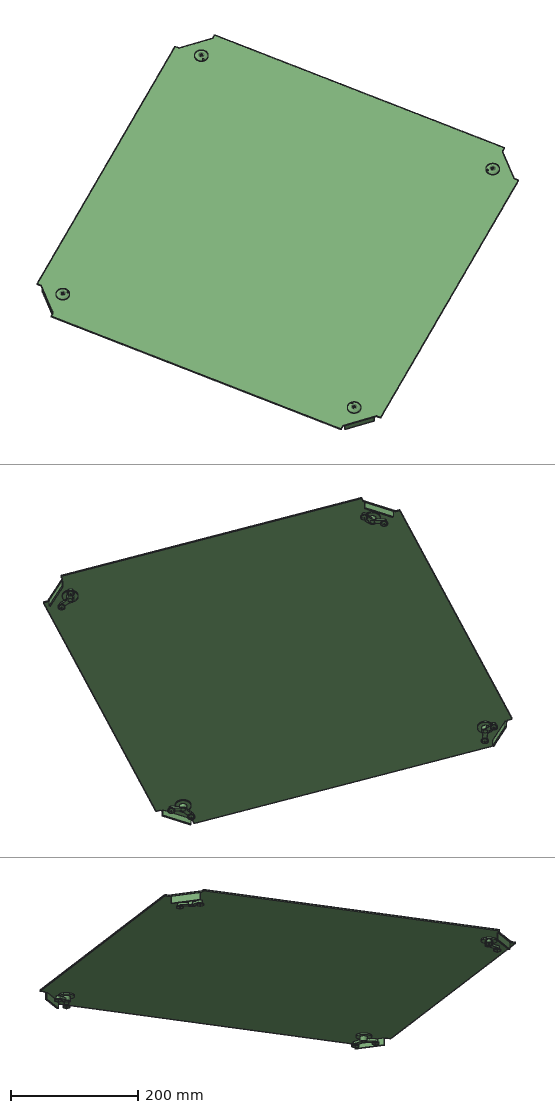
import cadquery as cq
import math

plate_side = 598.0
sheet_thickness = 2.5
corner_cut = 46.5
corner_step = 7.0
flange_drop = 11.5
flange_width = 49.0
flange_setback = 0.5
half_side = plate_side / 2

fastener_inset = 45.5
overall_height = 21.5
head_diameter = 21.5
head_height = 3.0
head_top_diameter = 8.5
head_rim_height = 1.0
socket_width = 3.5
socket_depth = 2.5
mark_diameter = 3.0
mark_reach = 9.0
shank_diameter = 7.0

collar_diameter = 25.0
collar_thickness = 2.5
neck_diameter = 12.0
arm_top_drop = 6.5
arm_thickness = 3.5
arm_length = 18.5
arm_width = 7.0
arm_angle = 68.0
foot_diameter = 11.5
foot_top_drop = 12.0
foot_thickness = 2.0
tip_diameter = 1.0

underside = 0.0
sheet_top = underside + sheet_thickness
arm_bottom = underside - arm_top_drop - arm_thickness
tip_bottom = sheet_top + head_height - overall_height
foot_top = underside - foot_top_drop
foot_bottom = foot_top - foot_thickness

diagonal_reach = (half_side - corner_cut + half_side - corner_step) / math.sqrt(2)

fastener_reach = half_side - fastener_inset
diagonal_angle = 45
corner_turns = [0, 90, 180, 270]


def cylinder(diameter, bottom, top, x=0.0):
    """Upright cylinder between two heights."""
    return (
        cq.Workplane("XY", origin=(x, 0, bottom))
        .circle(diameter / 2)
        .extrude(top - bottom)
    )


def to_corner(body, turn):
    """Moves a body from the origin, outward along +X, to one corner of the plate."""
    placed = body.rotate((0, 0, 0), (0, 0, 1), diagonal_angle)
    placed = placed.translate((fastener_reach, fastener_reach, 0))
    return placed.rotate((0, 0, 0), (0, 0, 1), turn)


def make_corner_flange():
    """Flange below the sheet, just behind the diagonal edge of the +X +Y corner."""
    middle_reach = diagonal_reach - flange_setback - sheet_thickness / 2
    strip = (
        cq.Workplane("XY", origin=(middle_reach, 0, underside - flange_drop))
        .rect(sheet_thickness, flange_width)
        .extrude(flange_drop)
    )
    return strip.rotate((0, 0, 0), (0, 0, 1), diagonal_angle)


def make_corner_waste():
    """Material removed from the +X +Y corner: two steps joined by a diagonal."""
    near = half_side - corner_cut
    far = half_side - corner_step
    return (
        cq.Workplane("XY", origin=(0, 0, underside))
        .polyline([(half_side, near), (far, near), (near, far), (near, half_side), (half_side, half_side)])
        .close()
        .extrude(sheet_thickness)
    )


def make_plate():
    sheet = cq.Workplane("XY", origin=(0, 0, underside)).rect(plate_side, plate_side)
    sheet = sheet.extrude(sheet_thickness)
    shank_hole = cylinder(shank_diameter, underside, sheet_top)
    for turn in corner_turns:
        sheet = sheet.cut(make_corner_waste().rotate((0, 0, 0), (0, 0, 1), turn))
        sheet = sheet.union(make_corner_flange().rotate((0, 0, 0), (0, 0, 1), turn))
        sheet = sheet.cut(to_corner(shank_hole, turn))
    return sheet


def make_head():
    """Head with a short straight rim and a flat-topped dome."""
    radius = head_diameter / 2
    top_radius = head_top_diameter / 2
    head_top = sheet_top + head_height
    dome_width = radius - top_radius
    dome_height = head_height - head_rim_height
    dome_radius = (dome_width ** 2 + dome_height ** 2) / (2 * dome_height)
    middle_width = dome_width / 2
    middle_z = head_top - dome_radius + math.sqrt(dome_radius ** 2 - middle_width ** 2)
    return (
        cq.Workplane("XZ")
        .moveTo(0, sheet_top)
        .lineTo(radius, sheet_top)
        .lineTo(radius, sheet_top + head_rim_height)
        .threePointArc((top_radius + middle_width, middle_z), (top_radius, head_top))
        .lineTo(0, head_top)
        .close()
        .revolve(360, (0, 0), (0, 1))
    )


def make_fastener():
    """Domed head with a square socket, a dent, and a shank down to the underside of the clamp."""
    head_top = sheet_top + head_height
    socket = (
        cq.Workplane("XY", origin=(0, 0, head_top - socket_depth))
        .rect(socket_width, socket_width)
        .extrude(socket_depth)
    )
    mark = cylinder(mark_diameter, sheet_top + head_rim_height, head_top, x=-mark_reach)
    shank = cylinder(shank_diameter, arm_bottom, sheet_top)
    return make_head().cut(socket).cut(mark).union(shank)


def make_clamp_arm():
    """Arm along +X from the fastener axis, with its flared foot and its small tip."""
    arm_top = underside - arm_top_drop
    arm = (
        cq.Workplane("XY", origin=(arm_length / 2, 0, arm_bottom))
        .slot2D(arm_length + arm_width, arm_width)
        .extrude(arm_thickness)
    )
    leg = cylinder(arm_width, foot_top, arm_bottom, x=arm_length)
    foot = cylinder(foot_diameter, foot_bottom, foot_top, x=arm_length)
    tip = cylinder(tip_diameter, tip_bottom, foot_bottom, x=arm_length)
    return arm.union(leg).union(foot).union(tip)


def make_clamp():
    collar = cylinder(collar_diameter, underside - collar_thickness, underside)
    neck = cylinder(neck_diameter, arm_bottom, underside)
    clamp = collar.union(neck)
    for angle in (-arm_angle, arm_angle):
        clamp = clamp.union(make_clamp_arm().rotate((0, 0, 0), (0, 0, 1), angle))
    return clamp.cut(cylinder(shank_diameter, arm_bottom, underside))


plate = make_plate()
fasteners = [to_corner(make_fastener(), turn) for turn in corner_turns]
clamps = [to_corner(make_clamp(), turn) for turn in corner_turns]

result = cq.Compound.makeCompound(
    [plate.val()]
    + [fastener.val() for fastener in fasteners]
    + [clamp.val() for clamp in clamps]
)